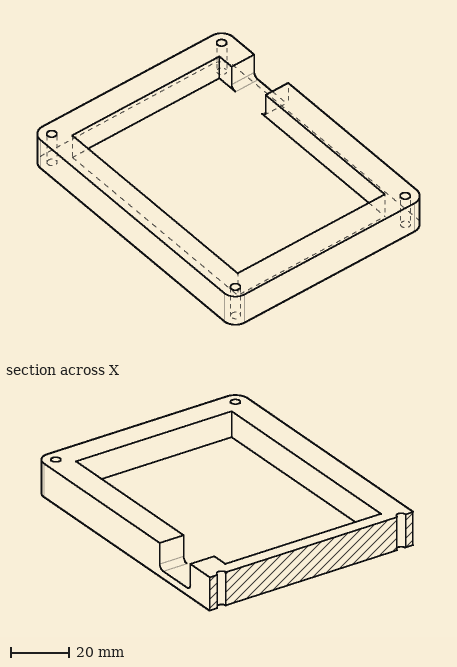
import cadquery as cq

length = 110.5
width = 84.5
height = 13.0
corner_radius = 5.0

pocket_depth = 10.0
rim_width = 9.9
floor_thickness = height - pocket_depth

hole_diameter = 3.4

notch_left_offset = 16.7
notch_width = 18.6
notch_radius = 2.0


def make_block():
    block = cq.Workplane("XY").box(length, width, height, centered=(True, True, False))
    return block.edges("|Z").fillet(corner_radius)


def make_pocket():
    return (
        cq.Workplane("XY")
        .workplane(offset=floor_thickness)
        .rect(length - 2 * rim_width, width - 2 * rim_width)
        .extrude(pocket_depth)
    )


def make_notch():
    notch = cq.Workplane("XY").box(
        notch_width, rim_width, pocket_depth, centered=False
    )
    notch = notch.edges("|Y and <Z").fillet(notch_radius)
    return notch.translate(
        (notch_left_offset - length / 2, width / 2 - rim_width, floor_thickness)
    )


def make_screw_holes():
    return (
        cq.Workplane("XY")
        .rect(length - 2 * corner_radius, width - 2 * corner_radius, forConstruction=True)
        .vertices()
        .circle(hole_diameter / 2)
        .extrude(height)
    )


result = make_block().cut(make_pocket()).cut(make_notch()).cut(make_screw_holes())